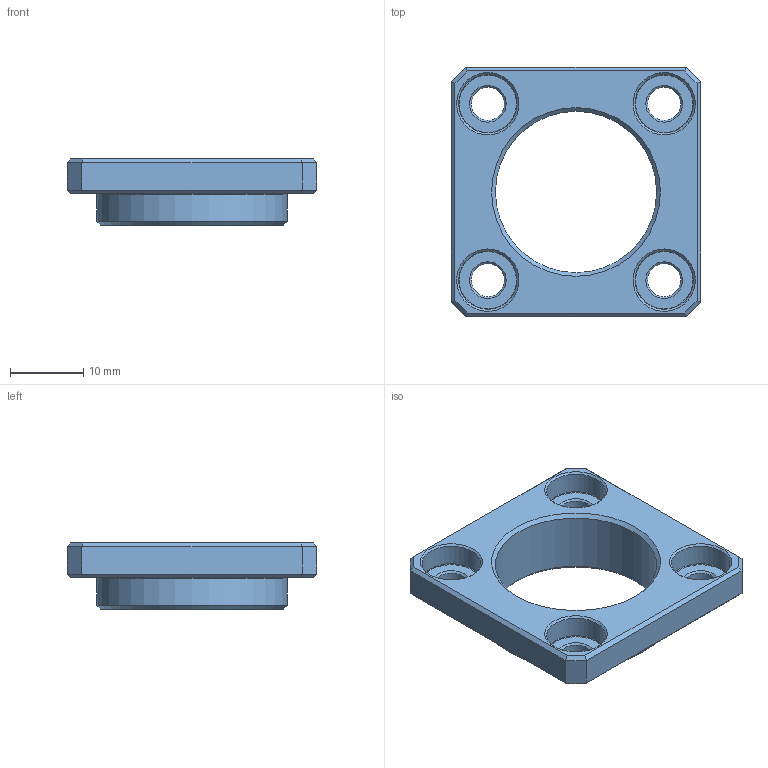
import cadquery as cq
import math

plate_side = 34.0
plate_thickness = 4.75
corner_cut = 2.0
total_height = 9.0
boss_diameter = 26.0
bore_diameter = 22.0
edge_chamfer = 0.5
inner_corner_fillet = 0.1

bolt_circle_diameter = 34.0
hole_diameter = 4.5
counterbore_diameter = 8.0
counterbore_depth = 3.25
hole_chamfer = 0.25

boss_height = total_height - plate_thickness
hole_offset = bolt_circle_diameter / 2 / math.sqrt(2)


def make_plate():
    """Square plate with cut corners, chamfered around its top and bottom edges."""
    plate = cq.Workplane("XY").rect(plate_side, plate_side).extrude(plate_thickness)
    plate = plate.edges("|Z").chamfer(corner_cut)
    return plate.faces("<Z or >Z").edges().chamfer(edge_chamfer)


def make_boss():
    """Round spigot below the plate, chamfered at its free end."""
    boss = cq.Workplane("XY").circle(boss_diameter / 2).extrude(-boss_height)
    return boss.faces("<Z").edges().chamfer(edge_chamfer)


def make_rim_cut(diameter, chamfer, rim_height):
    """Cutter that chamfers the upward-facing rim of a hole."""
    bottom_radius = diameter / 2
    top_radius = bottom_radius + chamfer
    bottom_centre = cq.Vector(0, 0, rim_height - chamfer)
    return cq.Workplane(cq.Solid.makeCone(bottom_radius, top_radius, chamfer, bottom_centre))


def make_bore_cut():
    """Through bore with both of its rims chamfered."""
    bore = cq.Workplane("XY").workplane(offset=-boss_height)
    bore = bore.circle(bore_diameter / 2).extrude(total_height)
    top_rim = make_rim_cut(bore_diameter, edge_chamfer, plate_thickness)
    bottom_rim = make_rim_cut(bore_diameter, edge_chamfer, boss_height).mirror("XY")
    return bore.union(top_rim).union(bottom_rim)


def make_screw_cut():
    """Counterbored screw hole with both upper rims chamfered and a rounded seat corner."""
    seat_height = plate_thickness - counterbore_depth
    hole = cq.Workplane("XY").circle(hole_diameter / 2).extrude(plate_thickness)
    counterbore = cq.Workplane("XY").workplane(offset=seat_height)
    counterbore = counterbore.circle(counterbore_diameter / 2).extrude(counterbore_depth)
    counterbore = counterbore.faces("<Z").edges().fillet(inner_corner_fillet)
    cut = hole.union(counterbore)
    cut = cut.union(make_rim_cut(hole_diameter, hole_chamfer, seat_height))
    return cut.union(make_rim_cut(counterbore_diameter, hole_chamfer, plate_thickness))


def make_flange_body():
    """Plate and boss joined, with a small fillet where the boss meets the plate."""
    body = make_plate().union(make_boss())
    boss_root = body.edges("%CIRCLE").edges(">Z")
    return boss_root.fillet(inner_corner_fillet)


result = make_flange_body().cut(make_bore_cut())
for x_sign in (-1, 1):
    for y_sign in (-1, 1):
        position = (x_sign * hole_offset, y_sign * hole_offset, 0)
        result = result.cut(make_screw_cut().translate(position))